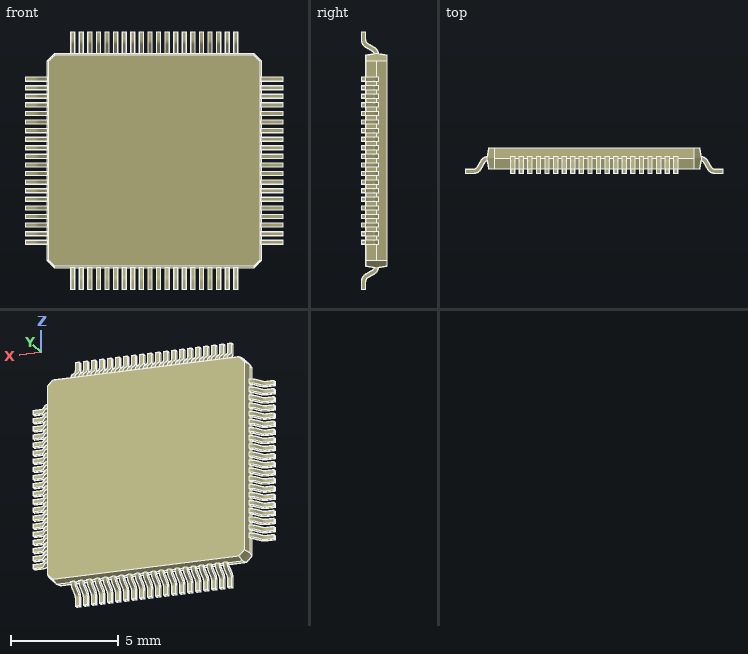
import cadquery as cq
import math

OVERALL_SPAN = 12.0
OVERALL_HEIGHT = 1.2

BODY_SPAN = 10.0
BODY_HEIGHT = 1.0
BODY_FACE_INSET = 0.08
CORNER_CUT = 0.36

SIDES = 4
LEADS_PER_SIDE = 20
LEAD_ROW_SPAN = 7.6
LEAD_THICKNESS = 0.2
FOOT_LENGTH = 0.37
BEND_ANGLE = 60.0
BEND_INNER_RADIUS = 0.2
LEAD_EMBED = 0.24

BODY_TOP = OVERALL_HEIGHT / 2
BODY_BOTTOM = BODY_TOP - BODY_HEIGHT
PARTING_PLANE = (BODY_TOP + BODY_BOTTOM) / 2
LEAD_PITCH = LEAD_ROW_SPAN / (LEADS_PER_SIDE - 1)
LEAD_WIDTH = LEAD_PITCH / 2


def cut_corner_square(y, half_span):
    """Octagonal wire at height y; the corner cuts start at the same place at every height."""
    edge_end = BODY_SPAN / 2 - CORNER_CUT
    quadrant = [(half_span, edge_end), (edge_end, half_span)]
    points = []
    for _ in range(SIDES):
        points += quadrant
        quadrant = [(-z, x) for x, z in quadrant]
    return cq.Wire.makePolygon([cq.Vector(x, y, z) for x, z in points], close=True)


def make_body():
    """Two tapered halves meeting at the parting plane."""
    widest = cut_corner_square(PARTING_PLANE, BODY_SPAN / 2)
    face_half_span = BODY_SPAN / 2 - BODY_FACE_INSET
    upper, lower = [
        cq.Workplane(cq.Solid.makeLoft([widest, cut_corner_square(y, face_half_span)], True))
        for y in (BODY_TOP, BODY_BOTTOM)
    ]
    return upper.union(lower)


def make_lead():
    """One lead pointing along +X: foot, bend up, sloping leg, bend level, root inside the body."""
    angle = math.radians(BEND_ANGLE)
    inner = BEND_INNER_RADIUS
    outer = inner + LEAD_THICKNESS

    foot_end = OVERALL_SPAN / 2 - FOOT_LENGTH
    sole = -OVERALL_HEIGHT / 2
    root_top = PARTING_PLANE + LEAD_THICKNESS / 2

    foot_centre = (foot_end, sole + outer)
    centre_rise = root_top - outer - foot_centre[1]
    leg_length = (centre_rise + (inner + outer) * math.cos(angle)) / math.sin(angle)
    centre_run = (inner + outer) * math.sin(angle) + leg_length * math.cos(angle)
    root_centre = (foot_end - centre_run, root_top - outer)
    root_end = BODY_SPAN / 2 - LEAD_EMBED

    def foot_arc(radius, turn):
        return (foot_centre[0] - radius * math.sin(turn), foot_centre[1] - radius * math.cos(turn))

    def root_arc(radius, turn):
        return (root_centre[0] + radius * math.sin(turn), root_centre[1] + radius * math.cos(turn))

    return (
        cq.Workplane("XY")
        .moveTo(OVERALL_SPAN / 2, sole)
        .lineTo(*foot_arc(outer, 0))
        .threePointArc(foot_arc(outer, angle / 2), foot_arc(outer, angle))
        .lineTo(*root_arc(inner, angle))
        .threePointArc(root_arc(inner, angle / 2), root_arc(inner, 0))
        .lineTo(root_end, root_top - LEAD_THICKNESS)
        .lineTo(root_end, root_top)
        .lineTo(*root_arc(outer, 0))
        .threePointArc(root_arc(outer, angle / 2), root_arc(outer, angle))
        .lineTo(*foot_arc(inner, angle))
        .threePointArc(foot_arc(inner, angle / 2), foot_arc(inner, 0))
        .lineTo(OVERALL_SPAN / 2, sole + LEAD_THICKNESS)
        .close()
        .extrude(LEAD_WIDTH / 2, both=True)
    )


def make_leads():
    """Rows of evenly spaced leads on all four sides."""
    lead = make_lead().val()
    leads = []
    for side in range(SIDES):
        for index in range(LEADS_PER_SIDE):
            offset = index * LEAD_PITCH - LEAD_ROW_SPAN / 2
            placed = lead.translate(cq.Vector(0, 0, offset))
            leads.append(placed.rotate(cq.Vector(0, 0, 0), cq.Vector(0, 1, 0), side * 360 / SIDES))
    return leads


result = cq.Workplane(make_body().val().fuse(*make_leads()))